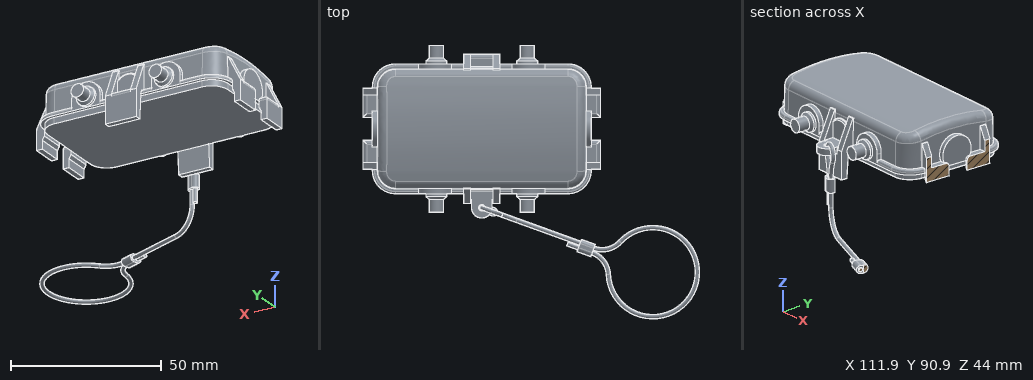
import cadquery as cq
import math

WALL_LENGTH = 69.6
WALL_WIDTH = 40.0
CORNER_RADIUS = 6.2
WALL_DRAFT = 1.0
CROWN_HEIGHT = 17.4
CROWN_RADIUS = 82.0
TOP_FILLET = 3.0
WALL_OVERLAP = 1.0

SKIRT_OFFSET = 0.15
LIP_OVERHANG = 1.6
LIP_BOTTOM = 2.3
LIP_TOP = 3.85
LIP_ROUND = 0.75

HALF_LENGTH = WALL_LENGTH / 2
HALF_WIDTH = WALL_WIDTH / 2
LIP_HALF_LENGTH = HALF_LENGTH + LIP_OVERHANG
LIP_HALF_WIDTH = HALF_WIDTH + LIP_OVERHANG

PIN_SPACING = 30.2
PIN_DIAMETER = 4.8
PIN_HEIGHT = 6.1
PIN_REACH = 27.75
COLLAR_DIAMETER = 7.0
COLLAR_LENGTH = 0.9
COLLAR_CONE_LENGTH = 1.0
PAD_SPACING = 31.0
PAD_RADIUS = 5.5
CENTRE_PAD_REACH = HALF_WIDTH + 0.7
CENTRE_PAD_CHAMFER = 0.5

END_DISC_RADIUS = 6.0
END_DISC_HEIGHT = 6.3

RIB_THICKNESS = 2.3
HOOK_SHOULDER = 3.0
HOOK_ROUND = 1.4

END_HOOK_REACH = 39.5
END_HOOK_THICKNESS = 2.3
END_HOOK_BOTTOM = -4.6
END_HOOK_OUTER_Y = 13.5
END_HOOK_INNER_Y = 3.75
END_RIB_TOP = 12.3
END_HOOK_TAPER_START = 0.0
END_HOOK_TAPER_END = -1.4

SIDE_HOOK_REACH = 24.8
SIDE_HOOK_THICKNESS = 2.3
SIDE_HOOK_ROOT_THICKNESS = 3.0
SIDE_HOOK_BOTTOM = -7.25
SIDE_HOOK_HALF_LENGTH = 6.0
SIDE_RIB_TOP = 13.7
SIDE_RIB_TOP_Y = 20.0

TAB_WIDTH = 6.9
TAB_BOTTOM = 1.4
TAB_TOP = LIP_TOP
EYE_Y = -26.2
EYE_DIAMETER = 2.0

CORD_DIAMETER = 1.5
STRAND_SPACING = 1.6
CORD_ANGLE = -19.9
CORD_LEVEL = -25.2
BEND_RADIUS = 8.3

FERRULE_LENGTH = 4.9
FERRULE_WIDTH = 4.4
FERRULE_THICKNESS = 2.9
EYE_TAIL_LENGTH = 5.1
BIG_TAIL_LENGTH = 3.9

EYE_LOOP_RADIUS = 3.25
EYE_LOOP_CENTRE_Z = 1.95
EYE_LOOP_NECK = 8.45
BIG_LOOP_RADIUS = 14.8
BIG_LOOP_CENTRE = 60.7
BIG_LOOP_NECK = 21.1


def rounded_block(half_length, half_width, radius, bottom, top):
    """Centred block with rounded vertical edges."""
    return (
        cq.Workplane("XY")
        .workplane(offset=bottom)
        .rect(2 * half_length, 2 * half_width)
        .extrude(top - bottom)
        .edges("|Z")
        .fillet(radius)
    )


def both_sides(shape, plane):
    """The shape together with its mirror image."""
    return shape.union(shape.mirror(plane))


def make_body():
    """Cover with a crowned top, a short skirt and a rounded lip."""
    outline = cq.Sketch().rect(WALL_LENGTH, WALL_WIDTH).vertices().fillet(CORNER_RADIUS)
    wall = cq.Workplane("XY").placeSketch(outline).extrude(CROWN_HEIGHT, taper=WALL_DRAFT)
    crown = (
        cq.Workplane("YZ")
        .center(0, CROWN_HEIGHT - CROWN_RADIUS)
        .circle(CROWN_RADIUS)
        .extrude(WALL_LENGTH, both=True)
    )
    cover = wall.intersect(crown).faces(">Z").edges().fillet(TOP_FILLET)
    skirt = rounded_block(
        HALF_LENGTH + SKIRT_OFFSET,
        HALF_WIDTH + SKIRT_OFFSET,
        CORNER_RADIUS + SKIRT_OFFSET,
        0,
        LIP_BOTTOM,
    )
    lip = rounded_block(
        LIP_HALF_LENGTH,
        LIP_HALF_WIDTH,
        CORNER_RADIUS + LIP_OVERHANG,
        LIP_BOTTOM,
        LIP_TOP,
    )
    lip = lip.faces(">Z").edges().fillet(LIP_ROUND)
    return cover.union(skirt).union(lip)


def trim_at_lip(shape):
    """Remove everything below the underside of the lip."""
    below = (
        cq.Workplane("XY")
        .workplane(offset=LIP_BOTTOM)
        .rect(2 * WALL_LENGTH, 2 * WALL_WIDTH)
        .extrude(-CROWN_HEIGHT)
    )
    return shape.cut(below)


def side_workplane(distance):
    """Plane facing -Y at the given distance from the middle; local axes are X and Z."""
    return cq.Workplane("XZ").workplane(offset=distance)


def make_pad(x, reach):
    """Arched pad standing on the -Y wall and running down to the lip."""
    thickness = reach - HALF_WIDTH + WALL_OVERLAP
    plane = side_workplane(HALF_WIDTH - WALL_OVERLAP)
    disc = plane.center(x, PIN_HEIGHT).circle(PAD_RADIUS).extrude(thickness)
    leg_height = PIN_HEIGHT - LIP_BOTTOM
    leg = plane.center(x, PIN_HEIGHT - leg_height / 2).rect(2 * PAD_RADIUS, leg_height).extrude(thickness)
    return trim_at_lip(disc.union(leg))


def make_pin(x):
    """Locking pin with its coned collar on a pad of the -Y wall."""
    pin_radius = PIN_DIAMETER / 2
    collar_radius = COLLAR_DIAMETER / 2
    collar_end = LIP_HALF_WIDTH + COLLAR_LENGTH
    profile = [
        (0, HALF_WIDTH - WALL_OVERLAP),
        (collar_radius, HALF_WIDTH - WALL_OVERLAP),
        (collar_radius, collar_end),
        (pin_radius, collar_end + COLLAR_CONE_LENGTH),
        (pin_radius, PIN_REACH),
        (0, PIN_REACH),
    ]
    turned = cq.Workplane("XY").polyline(profile).close().revolve(360, (0, 0, 0), (0, 1, 0))
    return turned.mirror("XZ").translate((x, 0, PIN_HEIGHT))


def make_side_pins():
    pins = make_pin(PIN_SPACING / 2).union(make_pad(PAD_SPACING / 2, LIP_HALF_WIDTH))
    return both_sides(both_sides(pins, "YZ"), "XZ")


def make_centre_pads():
    pad = make_pad(0, CENTRE_PAD_REACH).faces("<Y").edges("%CIRCLE").chamfer(CENTRE_PAD_CHAMFER)
    return both_sides(pad, "XZ")


def make_end_discs():
    """Round boss on each end wall, cut off level with the underside of the lip."""
    disc = (
        cq.Workplane("YZ")
        .center(0, END_DISC_HEIGHT)
        .circle(END_DISC_RADIUS)
        .extrude(LIP_HALF_LENGTH)
    )
    return both_sides(trim_at_lip(disc), "YZ")


def make_end_hooks():
    """Two hooks on each end, every hook with one rib along its outer edge."""
    hook_inner_x = END_HOOK_REACH - END_HOOK_THICKNESS
    plate_profile = [
        (HALF_LENGTH - WALL_OVERLAP, LIP_BOTTOM),
        (LIP_HALF_LENGTH, LIP_BOTTOM),
        (LIP_HALF_LENGTH, END_HOOK_TAPER_START),
        (hook_inner_x, END_HOOK_TAPER_END),
        (hook_inner_x, END_HOOK_BOTTOM),
        (END_HOOK_REACH, END_HOOK_BOTTOM),
        (END_HOOK_REACH, LIP_TOP),
        (HALF_LENGTH - WALL_OVERLAP, LIP_TOP),
    ]
    rib_profile = [
        (HALF_LENGTH - WALL_OVERLAP, LIP_BOTTOM),
        (END_HOOK_REACH, LIP_BOTTOM),
        (END_HOOK_REACH, HOOK_SHOULDER),
        (HALF_LENGTH, END_RIB_TOP),
        (HALF_LENGTH - WALL_OVERLAP, END_RIB_TOP),
    ]
    plane = side_workplane(END_HOOK_INNER_Y)
    plate = plane.polyline(plate_profile).close().extrude(END_HOOK_OUTER_Y - END_HOOK_INNER_Y)
    plate = plate.faces(">Z").edges(">X or >Y").fillet(HOOK_ROUND)
    rib_plane = side_workplane(END_HOOK_OUTER_Y - RIB_THICKNESS)
    rib = rib_plane.polyline(rib_profile).close().extrude(RIB_THICKNESS)
    return both_sides(both_sides(plate.union(rib), "XZ"), "YZ")


def make_side_hooks():
    """One hook in the middle of each long side, with a rib along both edges."""
    hook_inner_y = SIDE_HOOK_REACH - SIDE_HOOK_THICKNESS
    root_y = SIDE_HOOK_REACH - SIDE_HOOK_ROOT_THICKNESS
    plate_profile = [
        (HALF_WIDTH - WALL_OVERLAP, LIP_BOTTOM),
        (root_y, LIP_BOTTOM),
        (hook_inner_y, SIDE_HOOK_BOTTOM),
        (SIDE_HOOK_REACH, SIDE_HOOK_BOTTOM),
        (SIDE_HOOK_REACH, LIP_TOP),
        (HALF_WIDTH - WALL_OVERLAP, LIP_TOP),
    ]
    rib_profile = [
        (HALF_WIDTH - WALL_OVERLAP, LIP_BOTTOM),
        (SIDE_HOOK_REACH, LIP_BOTTOM),
        (SIDE_HOOK_REACH, HOOK_SHOULDER),
        (SIDE_RIB_TOP_Y, SIDE_RIB_TOP),
        (HALF_WIDTH - WALL_OVERLAP, SIDE_RIB_TOP),
    ]
    plane = cq.Workplane("YZ")
    plate = plane.polyline(plate_profile).close().extrude(SIDE_HOOK_HALF_LENGTH)
    plate = plate.faces(">Z").edges(">Y").fillet(HOOK_ROUND)
    rib_plane = plane.workplane(offset=SIDE_HOOK_HALF_LENGTH - RIB_THICKNESS)
    rib = rib_plane.polyline(rib_profile).close().extrude(RIB_THICKNESS)
    return both_sides(both_sides(plate.union(rib), "YZ"), "XZ")


def make_tab():
    """Eyelet tab on the -Y side hook."""
    plane = cq.Workplane("XY").workplane(offset=TAB_BOTTOM)
    thickness = TAB_TOP - TAB_BOTTOM
    length = -EYE_Y - HALF_WIDTH + WALL_OVERLAP
    strip = plane.center(0, EYE_Y + length / 2).rect(TAB_WIDTH, length).extrude(thickness)
    end = plane.center(0, EYE_Y).circle(TAB_WIDTH / 2).extrude(thickness)
    eye = plane.center(0, EYE_Y).circle(EYE_DIAMETER / 2).extrude(thickness)
    return strip.union(end).cut(eye)


def trace_loop(path, axis_point, loop_radius, neck):
    """Continue a path around a loop and back.

    axis_point(u, v) maps a distance u past the loop centre and an offset v from the loop's axis to
    path coordinates. The path must stand at the strand on the +v side, one neck length before the
    centre; it ends on the -v side. Both necks are arcs tangent to the strands and to the loop.
    """
    strand = STRAND_SPACING / 2
    neck_radius = (neck**2 + strand**2 - loop_radius**2) / (2 * (loop_radius - strand))
    neck_centre = strand + neck_radius
    turn = math.acos(neck_centre / (loop_radius + neck_radius))
    join_u = -loop_radius * math.sin(turn)
    join_v = loop_radius * math.cos(turn)
    mid_u = -neck + neck_radius * math.sin(turn / 2)
    mid_v = neck_centre - neck_radius * math.cos(turn / 2)
    return (
        path.threePointArc(axis_point(mid_u, mid_v), axis_point(join_u, join_v))
        .threePointArc(axis_point(loop_radius, 0), axis_point(join_u, -join_v))
        .threePointArc(axis_point(mid_u, -mid_v), axis_point(-neck, -strand))
    )


def make_ferrule(plane):
    """Flat-sided sleeve around two strands; its length is centred on the plane."""
    return plane.slot2D(FERRULE_WIDTH, FERRULE_THICKNESS).extrude(FERRULE_LENGTH / 2, both=True)


def make_cord():
    """Cord built along +X from the eye at the origin, then turned about the eye."""
    strand = STRAND_SPACING / 2
    section_radius = CORD_DIAMETER / 2

    eye_axis = EYE_LOOP_RADIUS
    eye_neck_z = EYE_LOOP_CENTRE_Z - EYE_LOOP_NECK
    eye_tail_z = eye_neck_z - FERRULE_LENGTH - EYE_TAIL_LENGTH
    tail_x = eye_axis - strand
    drop_x = eye_axis + strand
    bend_z = CORD_LEVEL + BEND_RADIUS
    bend_x = drop_x + BEND_RADIUS
    bend_mid = BEND_RADIUS * math.sqrt(0.5)

    def eye_point(u, v):
        return (eye_axis - v, EYE_LOOP_CENTRE_Z + u)

    upper_path = cq.Workplane("XZ").moveTo(tail_x, eye_tail_z).lineTo(tail_x, eye_neck_z)
    upper_path = trace_loop(upper_path, eye_point, EYE_LOOP_RADIUS, EYE_LOOP_NECK)
    upper_path = upper_path.lineTo(drop_x, bend_z).threePointArc(
        (bend_x - bend_mid, bend_z - bend_mid), (bend_x, CORD_LEVEL)
    )
    upper_start = cq.Workplane("XY", origin=(tail_x, 0, eye_tail_z))
    upper = upper_start.circle(section_radius).sweep(upper_path)
    upper_ferrule = make_ferrule(
        cq.Workplane("XY", origin=(eye_axis, 0, eye_neck_z - FERRULE_LENGTH / 2))
    )

    big_neck_x = BIG_LOOP_CENTRE - BIG_LOOP_NECK
    big_tail_x = big_neck_x - FERRULE_LENGTH - BIG_TAIL_LENGTH

    def big_point(u, v):
        return (BIG_LOOP_CENTRE + u, v - strand)

    level = cq.Workplane("XY", origin=(0, 0, CORD_LEVEL))
    lower_path = level.moveTo(bend_x, 0).lineTo(big_neck_x, 0)
    lower_path = trace_loop(lower_path, big_point, BIG_LOOP_RADIUS, BIG_LOOP_NECK)
    lower_path = lower_path.lineTo(big_tail_x, -STRAND_SPACING)
    lower_start = cq.Workplane("YZ", origin=(bend_x, 0, CORD_LEVEL))
    lower = lower_start.circle(section_radius).sweep(lower_path)
    lower_ferrule = make_ferrule(
        cq.Workplane("YZ", origin=(big_neck_x - FERRULE_LENGTH / 2, -strand, CORD_LEVEL))
    )

    cord = upper.union(upper_ferrule).union(lower).union(lower_ferrule)
    return cord.rotate((0, 0, 0), (0, 0, 1), CORD_ANGLE).translate((0, EYE_Y, 0))


result = (
    make_body()
    .union(make_side_pins())
    .union(make_centre_pads())
    .union(make_end_discs())
    .union(make_end_hooks())
    .union(make_side_hooks())
    .union(make_tab())
    .union(make_cord())
)